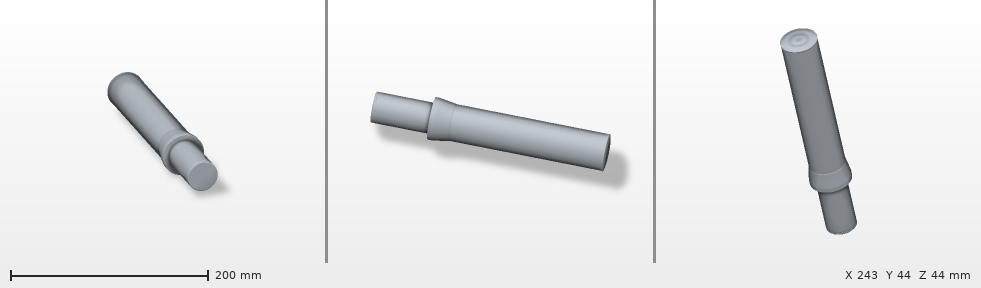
import cadquery as cq

total_length = 243.0
shank_length = 60.0
barrel_radius = 38.0 / 2
shank_radius = 32.0 / 2
relief_radius = 31.5 / 2
collar_radius = 44.0 / 2

head_length = 3.0
head_radius = 19.4
tip_flat_radius = 0.3
inner_ridge_radius = 5.5
valley_radius = 9.2
outer_ridge_radius = 13.5
rim_radius = 17.3
ridge_height = 0.74
corner_radius = 18.65
corner_x = 1.05
head_widest_x = 1.5

collar_width = 5.0
edge_break = 0.4
edge_break_depth = 0.05
flare_length = 17.0
flare_step = 0.3

neck_width = 1.0
relief_taper = 0.5
groove_from_end = 3.7
groove_width = 1.2
end_chamfer_length = 0.8
end_chamfer_depth = 0.75

shoulder_x = total_length - shank_length
collar_x = shoulder_x - collar_width
flare_x = collar_x - flare_length
neck_end_x = shoulder_x + neck_width
groove_x = total_length - groove_from_end
groove_end_x = groove_x + groove_width


def turned(profile):
    """Revolve a closed (x, radius) profile about the X axis."""
    return cq.Workplane("XY").polyline(profile).close().revolve(360, (0, 0, 0), (1, 0, 0))


def cutting_head():
    """Short disc with two concentric ridges on its face."""
    return turned([
        (ridge_height, 0),
        (ridge_height, tip_flat_radius),
        (0, inner_ridge_radius),
        (ridge_height, valley_radius),
        (0, outer_ridge_radius),
        (ridge_height, rim_radius),
        (corner_x, corner_radius),
        (head_widest_x, head_radius),
        (head_length, barrel_radius),
        (head_length, 0),
    ])


def holder():
    """Barrel, flared collar and clamping shank in one piece."""
    barrel = [
        (head_length, 0),
        (head_length, barrel_radius),
        (flare_x, barrel_radius),
    ]
    collar = [
        (flare_x + edge_break, barrel_radius + flare_step),
        (collar_x - edge_break, collar_radius - edge_break_depth),
        (collar_x, collar_radius),
        (shoulder_x - edge_break, collar_radius),
        (shoulder_x, collar_radius - edge_break),
    ]
    shank = [
        (shoulder_x, relief_radius),
        (neck_end_x, relief_radius),
        (neck_end_x + relief_taper, shank_radius),
        (groove_x, shank_radius),
        (groove_x + relief_taper, relief_radius),
        (groove_end_x, relief_radius),
        (groove_end_x, shank_radius),
        (total_length - end_chamfer_length, shank_radius),
        (total_length, shank_radius - end_chamfer_depth),
        (total_length, 0),
    ]
    return turned(barrel + collar + shank)


result = cq.Compound.makeCompound([cutting_head().val(), holder().val()])